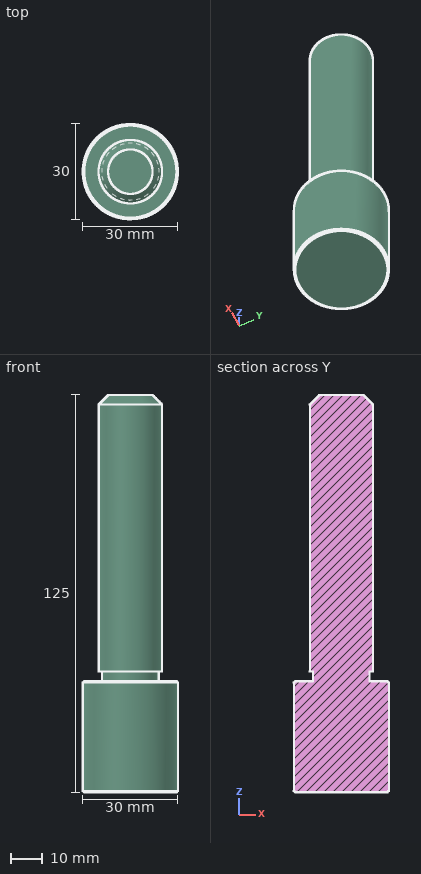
import cadquery as cq

total_height = 125.0
head_diameter = 30.0
head_height = 35.0
head_chamfer = 0.5

neck_diameter = 18.0
neck_height = 3.0

shank_diameter = 20.0
tip_chamfer = 3.0

shank_base = head_height + neck_height
shank_height = total_height - shank_base


def cylinder(diameter, height, base):
    """Solid cylinder on the Z axis, starting at height base."""
    return cq.Workplane("XY").workplane(offset=base).circle(diameter / 2).extrude(height)


head = cylinder(head_diameter, head_height, 0).edges().chamfer(head_chamfer)

neck = cylinder(neck_diameter, neck_height, head_height)

shank = cylinder(shank_diameter, shank_height, shank_base)
shank = shank.faces(">Z").edges().chamfer(tip_chamfer)

result = head.union(neck).union(shank)